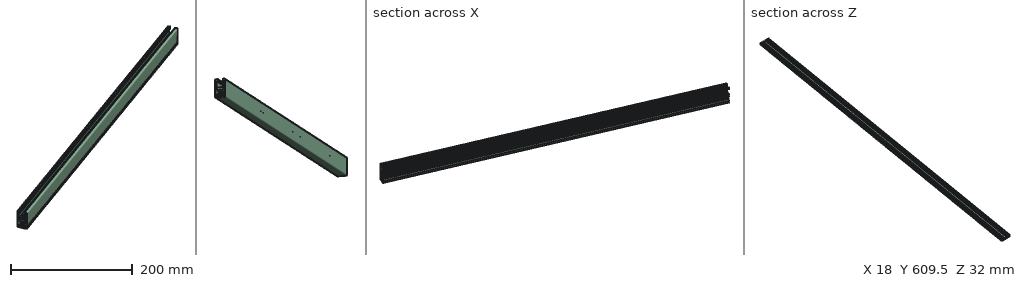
import cadquery as cq

length = 609.5
width = 18.0
height = 32.0
corner_radius = 2.5

channel_width = 12.0
mouth_width = 8.5
lip_height = 3.5
channel_floor = 17.5

groove_width = 5.0
groove_depth = 0.9

chamber_width = 16.0
chamber_bottom = 3.0
chamber_corner_radius = 1.0
web_thickness = 2.0
chamber_top = channel_floor - web_thickness
chamber_middle = (chamber_bottom + chamber_top) / 2

bore_radius = 3.5
boss_base_width = 11.5
boss_tip_width = 7.0
boss_gap = 3.5

relief_width = 5.0
relief_bottom = 2.5
relief_top = 5.0


def bar(bar_width, bottom, top):
    """Full-length rectangular bar, centred across X and along Y."""
    return (
        cq.Workplane("XY")
        .box(bar_width, length, top - bottom, centered=(True, True, False))
        .translate((0, 0, bottom))
    )


def screw_boss(base_z, tip_z):
    """Full-length boss tapering from the chamber wall to its tip."""
    outline = [
        (-boss_base_width / 2, base_z),
        (boss_base_width / 2, base_z),
        (boss_tip_width / 2, tip_z),
        (-boss_tip_width / 2, tip_z),
    ]
    return cq.Workplane("XZ").polyline(outline).close().extrude(length / 2, both=True)


def screw_bore():
    """Full-length bore centred in the chamber."""
    return (
        cq.Workplane("XZ")
        .center(0, chamber_middle)
        .circle(bore_radius)
        .extrude(length / 2, both=True)
    )


def floor_groove():
    """Full-length V groove pointing down from the channel floor."""
    outline = [
        (-groove_width / 2, channel_floor),
        (groove_width / 2, channel_floor),
        (0, channel_floor - groove_depth),
    ]
    return cq.Workplane("XZ").polyline(outline).close().extrude(length / 2, both=True)


body = bar(width, 0, height).edges("|Y").fillet(corner_radius)

body = body.cut(bar(channel_width, channel_floor, height - lip_height))
body = body.cut(bar(mouth_width, channel_floor, height))

body = body.cut(floor_groove())

chamber = bar(chamber_width, chamber_bottom, chamber_top).edges("|Y").fillet(chamber_corner_radius)
chamber = chamber.cut(screw_boss(chamber_bottom, chamber_middle - boss_gap / 2))
chamber = chamber.cut(screw_boss(chamber_top, chamber_middle + boss_gap / 2))
body = body.cut(chamber)

body = body.cut(screw_bore())
body = body.cut(bar(relief_width, relief_bottom, relief_top))

result = body.translate((0, 0, -height / 2))